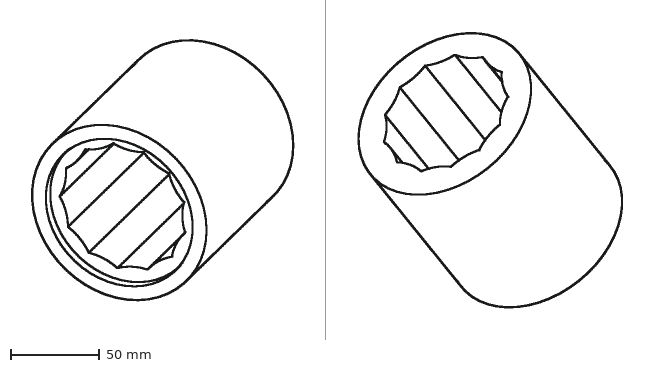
import cadquery as cq
import math

outer_diameter = 108.7
length = 118.8

recess_diameter = 91.5
recess_depth = 5.9

lobe_count = 13
groove_radius = 39.5
lobe_crest_radius = 37.0
first_groove_angle = 15.8
bore_center_x = -0.4
bore_center_z = 0.7


def bore_point(radius, step):
    """Point of the bore outline, a number of lobe pitches past the first groove."""
    angle = math.radians(first_groove_angle + step * 360.0 / lobe_count)
    return (
        bore_center_x + radius * math.cos(angle),
        bore_center_z + radius * math.sin(angle),
    )


def end_plane():
    """Sketch plane on the -Y end: local x is X, local y is Z, and its normal is -Y."""
    return cq.Workplane("XZ", origin=(0, -length / 2, 0))


def fluted_bore():
    outline = end_plane().moveTo(*bore_point(groove_radius, 0))
    for lobe in range(lobe_count):
        crest = bore_point(lobe_crest_radius, lobe + 0.5)
        next_groove = bore_point(groove_radius, lobe + 1)
        outline = outline.threePointArc(crest, next_groove)
    return outline.close().extrude(-length)


sleeve = end_plane().circle(outer_diameter / 2).extrude(-length)
recess = end_plane().circle(recess_diameter / 2).extrude(-recess_depth)

result = sleeve.cut(recess).cut(fluted_bore())